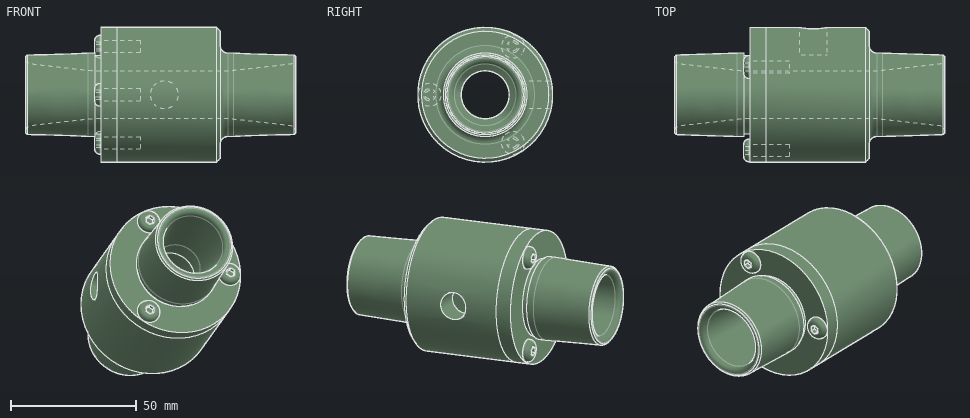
import cadquery as cq
import math

total_length = 107.95
left_end = -total_length / 2
right_end = total_length / 2

pipe_diameter = 33.43
taper_ratio = 1 / 16
taper_length = 24.85
tip_chamfer_length = 0.7
bore_diameter = 19.05
mouth_diameter = 24.65
mouth_cone_length = 24.85
lip_radius = 2.4

collar_length = 2.95
neck_diameter = 31.5
cap_face = left_end + 30.1
cap_thickness = 6.35
joint_face = cap_face + cap_thickness

body_diameter = 53.98
housing_end = left_end + 77.8
housing_chamfer = 1.59
root_fillet = 3.0
port_diameter = 11.11
port_depth = 11.11
port_x = left_end + 55.4

screw_count = 3
screw_circle_radius = 22.225
head_diameter = 9.17
head_flat_diameter = 4.0
head_height = 2.57
head_rim_height = 0.35
shank_diameter = 4.83
shank_length = 15.875
socket_across_flats = 3.175
socket_depth = 2.2

pipe_radius = pipe_diameter / 2
bore_radius = bore_diameter / 2
mouth_radius = mouth_diameter / 2
neck_radius = neck_diameter / 2
body_radius = body_diameter / 2
tip_radius = pipe_radius - (taper_length - tip_chamfer_length) * taper_ratio / 2
rim_radius = tip_radius - tip_chamfer_length
lip_outer_radius = mouth_radius + lip_radius
head_radius = head_diameter / 2
head_flat_radius = head_flat_diameter / 2
diagonal = math.sqrt(0.5)


def revolve_about_x(profile):
    return profile.close().revolve(360, (0, 0, 0), (1, 0, 0))


def pipe_mouth(profile, end_x, inward):
    """Continue a profile along a pipe end to its bore; inward is the X sign pointing into the pipe."""
    lip_end = end_x + inward * lip_radius
    lip_middle = (lip_end - inward * lip_radius * diagonal, lip_outer_radius - lip_radius * diagonal)
    return (
        profile.lineTo(end_x + inward * taper_length, pipe_radius)
        .lineTo(end_x + inward * tip_chamfer_length, tip_radius)
        .lineTo(end_x, rim_radius)
        .lineTo(end_x, lip_outer_radius)
        .threePointArc(lip_middle, (lip_end, mouth_radius))
        .lineTo(lip_end + inward * mouth_cone_length, bore_radius)
    )


def make_cap():
    """Disc cap carrying the left pipe end on a narrower neck."""
    collar_end = left_end + taper_length + collar_length
    profile = (
        cq.Workplane("XY")
        .moveTo(joint_face, bore_radius)
        .lineTo(joint_face, body_radius)
        .lineTo(cap_face, body_radius)
        .lineTo(cap_face, neck_radius)
        .lineTo(collar_end, neck_radius)
        .lineTo(collar_end, pipe_radius)
    )
    return revolve_about_x(pipe_mouth(profile, left_end, 1))


def make_housing():
    """Cylindrical housing carrying the right pipe end and a radial port on the +Y side."""
    fillet_end = housing_end + root_fillet
    root_radius = pipe_radius + root_fillet
    fillet_middle = (fillet_end - root_fillet * diagonal, root_radius - root_fillet * diagonal)
    profile = (
        cq.Workplane("XY")
        .moveTo(joint_face, bore_radius)
        .lineTo(joint_face, body_radius)
        .lineTo(housing_end - housing_chamfer, body_radius)
        .lineTo(housing_end, body_radius - housing_chamfer)
        .lineTo(housing_end, root_radius)
        .threePointArc(fillet_middle, (fillet_end, pipe_radius))
    )
    housing = revolve_about_x(pipe_mouth(profile, right_end, -1))
    port = (
        cq.Workplane("XZ", origin=(port_x, body_radius, 0))
        .circle(port_diameter / 2)
        .extrude(port_depth)
    )
    return housing.cut(port)


def screw_position(index):
    """Screw axis in Y and Z; the first screw sits on the -Y side."""
    angle = math.pi + index * 2 * math.pi / screw_count
    return screw_circle_radius * math.cos(angle), screw_circle_radius * math.sin(angle)


def make_shank(y, z):
    return (
        cq.Workplane("YZ", origin=(cap_face, y, z))
        .circle(shank_diameter / 2)
        .extrude(shank_length)
    )


def make_screw(y, z):
    """Button head screw whose head rests on the cap face; the hex socket has corners toward +Z and -Z."""
    rim_x = cap_face - head_rim_height
    top_x = cap_face - head_height
    head = (
        cq.Workplane("XY")
        .moveTo(cap_face, 0)
        .lineTo(cap_face, head_radius)
        .lineTo(rim_x, head_radius)
        .tangentArcPoint((top_x, head_flat_radius), relative=False)
        .lineTo(top_x, 0)
    )
    head = revolve_about_x(head).translate((0, y, z))
    socket = (
        cq.Workplane("YZ", origin=(top_x, y, z))
        .polygon(6, socket_across_flats, circumscribed=True)
        .extrude(socket_depth)
    )
    return head.union(make_shank(y, z)).cut(socket)


cap = make_cap()
housing = make_housing()
screws = []
for index in range(screw_count):
    y, z = screw_position(index)
    shank = make_shank(y, z)
    cap = cap.cut(shank)
    housing = housing.cut(shank)
    screws.append(make_screw(y, z))

result = cq.Compound.makeCompound([cap.val(), housing.val(), *[screw.val() for screw in screws]])